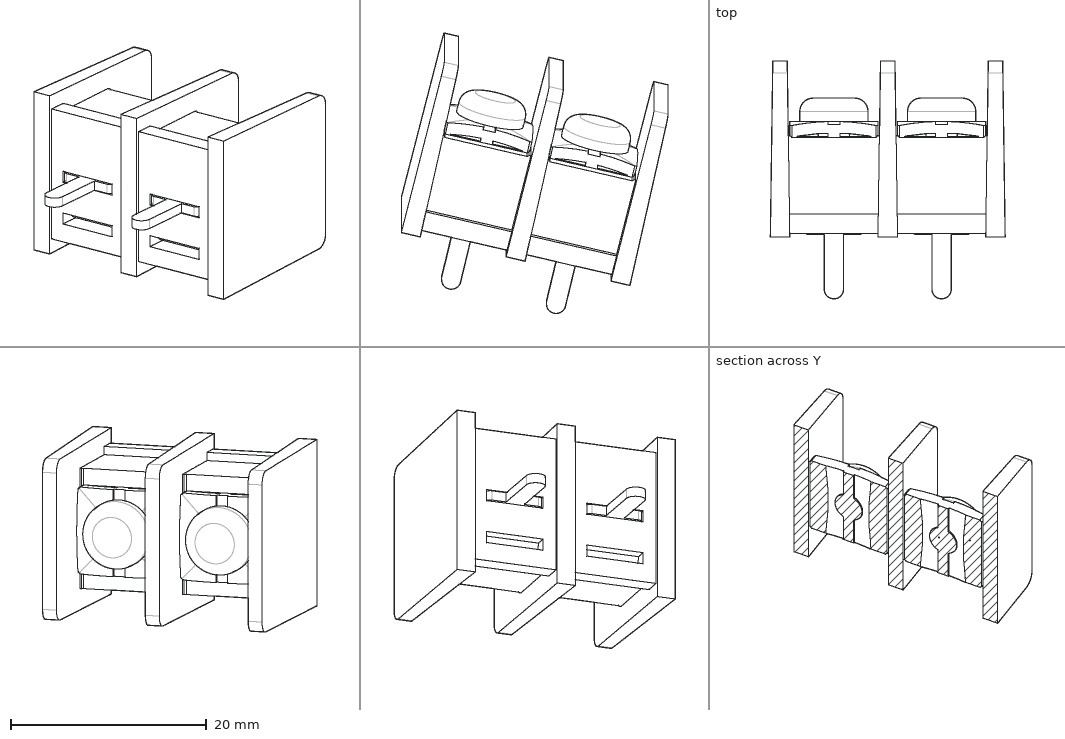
import cadquery as cq


pole_pitch = 11.0
pole_count = 2
barrier_depth = 18.0
barrier_root_thickness = 2.0
barrier_tip_thickness = 1.5
barrier_root_height = 17.3
barrier_tip_height = 16.7
barrier_corner_radius = 1.25

housing_front = 0.37
flange_depth = 2.0
flange_height = 14.2
housing_back = 10.37
housing_height = 12.5
seat_depth = 0.17
seat_floor_width = 8.6
seat_y = housing_back - seat_depth

slot_width = 6.2
slot_height = 1.2
slot_depth = 2.5
upper_slot_z = 0.0
lower_slot_z = -4.55

bar_width = 6.1
bar_thickness = 1.0
bar_proud = 0.1
bar_corner_radius = 0.5
bar_front = housing_front - bar_proud
pin_width = 2.0
pin_length = 6.3
pad_proud = 0.1

plate_width = 9.04
plate_corner = 0.22
plate_top = 11.82
plate_edge_top = 11.36
plate_thickness = 1.2
groove_width = 1.25
groove_depth = 0.3
shank_radius = 1.6
head_radius = 3.5
head_height = 2.4
head_fillet = 1.4


def box(x_size, y_start, y_end, z_size, z_mid=0.0):
    """Box centred on X = 0 and on z_mid, between two Y positions."""
    y_mid = (y_start + y_end) / 2
    return cq.Workplane("XY").box(x_size, y_end - y_start, z_size).translate((0, y_mid, z_mid))


def extrude_plan(outline, height):
    """Extrude a closed XY outline symmetrically about Z = 0."""
    return outline.close().extrude(height / 2, both=True)


def rod(radius, y_start, y_end):
    """Cylinder along Y."""
    return cq.Workplane("XZ", origin=(0, y_start, 0)).circle(radius).extrude(y_start - y_end)


def make_barrier():
    """Wall that tapers in thickness and height and has rounded tip corners."""
    root = barrier_root_thickness / 2
    tip = barrier_tip_thickness / 2
    plan = cq.Workplane("XY").polyline(
        [(-root, 0), (root, 0), (tip, barrier_depth), (-tip, barrier_depth)]
    )
    wall = extrude_plan(plan, barrier_root_height)
    side = (
        cq.Workplane("YZ")
        .polyline(
            [
                (0, -barrier_root_height / 2),
                (barrier_depth, -barrier_tip_height / 2),
                (barrier_depth, barrier_tip_height / 2),
                (0, barrier_root_height / 2),
            ]
        )
        .close()
        .extrude(barrier_root_thickness, both=True)
        .edges("|X and >Y")
        .fillet(barrier_corner_radius)
    )
    return wall.intersect(side)


def make_housing():
    """Block with a taller front flange, two front slots and a shallow seat for the clamp plate."""
    block = box(pole_pitch, housing_front, housing_back, housing_height)
    flange = box(pole_pitch, housing_front, housing_front + flange_depth, flange_height)
    half_floor = seat_floor_width / 2
    seat = extrude_plan(
        cq.Workplane("XY").polyline(
            [
                (-half_floor, seat_y),
                (half_floor, seat_y),
                (half_floor + seat_depth, housing_back),
                (-half_floor - seat_depth, housing_back),
            ]
        ),
        housing_height,
    )
    housing = block.union(flange).cut(seat)
    for slot_z in (upper_slot_z, lower_slot_z):
        housing = housing.cut(
            box(slot_width, housing_front, housing_front + slot_depth, slot_height, slot_z)
        )
    return housing


def make_bend():
    """Rounded outer bend of the terminal strip, closing the back of the lower slot."""
    slot_back = housing_front + slot_depth
    slot_top = lower_slot_z + slot_height / 2
    return (
        cq.Workplane("YZ")
        .moveTo(slot_back, slot_top)
        .lineTo(slot_back - slot_height, slot_top)
        .radiusArc((slot_back, slot_top - slot_height), -slot_height)
        .close()
        .extrude(slot_width / 2, both=True)
    )


def make_terminal():
    """Bar with rounded front corners and a round-ended solder pin."""
    bar = (
        box(bar_width, bar_front, housing_front + slot_depth, bar_thickness)
        .edges("|Z and <Y")
        .fillet(bar_corner_radius)
    )
    pin_radius = pin_width / 2
    pin_plan = (
        cq.Workplane("XY")
        .moveTo(pin_radius, bar_front + bar_corner_radius)
        .lineTo(pin_radius, pin_radius - pin_length)
        .threePointArc((0, -pin_length), (-pin_radius, pin_radius - pin_length))
        .lineTo(-pin_radius, bar_front + bar_corner_radius)
    )
    return bar.union(extrude_plan(pin_plan, bar_thickness))


def make_contact_pad():
    """Flat terminal face standing slightly above the seat, under the clamp plate."""
    return box(seat_floor_width, seat_y, seat_y + pad_proud, plate_width)


def make_clamp_plate():
    """Square plate, arched in both directions, with a pressed groove along its middle."""
    half = plate_width / 2
    bottom_mid = plate_top - plate_thickness
    bottom_edge = plate_edge_top - plate_thickness
    profile = (
        cq.Workplane("XY")
        .moveTo(-half, plate_edge_top)
        .threePointArc((0, plate_top), (half, plate_edge_top))
        .lineTo(half, bottom_edge)
        .threePointArc((0, bottom_mid), (-half, bottom_edge))
    )
    arch = extrude_plan(profile, plate_width)
    crown = (
        cq.Workplane("YZ")
        .moveTo(plate_edge_top, -half)
        .threePointArc((plate_top, 0), (plate_edge_top, half))
        .lineTo(bottom_mid, half)
        .lineTo(bottom_mid, -half)
        .close()
        .extrude(half, both=True)
    )
    rib = box(groove_width, seat_y, plate_top, plate_width)
    groove = box(groove_width, plate_top - groove_depth, plate_top, plate_width)
    plate = arch.union(crown).edges("|Y").chamfer(plate_corner)
    return plate.union(rib).cut(groove)


def make_screw():
    """Pan-head screw along Y through the clamp plate."""
    head = rod(head_radius, plate_top, plate_top + head_height).faces(">Y").edges().fillet(head_fillet)
    return head.union(rod(shank_radius, seat_y, plate_top))


def make_pole():
    """Everything that belongs to one pole, centred on X = 0."""
    pole = make_housing()
    pieces = (make_bend(), make_terminal(), make_contact_pad(), make_clamp_plate(), make_screw())
    for piece in pieces:
        pole = pole.union(piece)
    return pole


def place_in_row(shape, count):
    """List of copies of shape at the pole pitch, with the row centred on X = 0."""
    first_x = -(count - 1) * pole_pitch / 2
    return [shape.translate((first_x + index * pole_pitch, 0, 0)) for index in range(count)]


first_pole, *other_poles = place_in_row(make_pole(), pole_count)
barriers = place_in_row(make_barrier(), pole_count + 1)

result = first_pole
for part in other_poles + barriers:
    result = result.union(part)